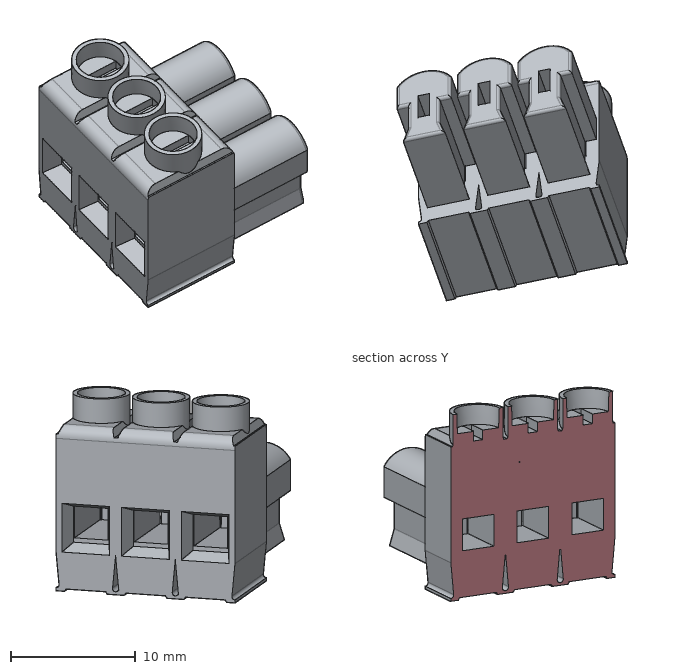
import cadquery as cq

POLES = 3
BODY_WIDTH = 15.0
PITCH = BODY_WIDTH / POLES
BODY_DEPTH = 8.5
BODY_TOP = 13.5
BODY_FILLET = 1.0
TOTAL_DEPTH = 16
TOTAL_HEIGHT = 15.5
pole_centres = [(i - (POLES - 1) / 2) * PITCH for i in range(POLES)]
pole_borders = [(i - POLES / 2) * PITCH for i in range(POLES + 1)]

GROOVE_FLOOR = 12.85
GROOVE_TOP_HALF = 0.42
GROOVE_FLOOR_HALF = 0.136

SLIT_APEX = 3.23
SLIT_RADIUS = 0.25
SLIT_CENTRE = 0.51

RECESS_HEIGHT = 0.2
RECESS_BOTTOM_HALF = 1.8
RECESS_TOP_HALF = 1.66

COLLAR_DIAMETER = 4.6
BORE_TOP_DIAMETER = 3.84
BORE_BOTTOM_DIAMETER = 3.71
SCREW_TOP = 13.87
SCREW_SLOT_WIDTH = 0.8
SCREW_SLOT_LENGTH = 3.65
SCREW_SLOT_DEPTH = 0.8
screw_y = BODY_DEPTH / 2

FUNNEL_BOTTOM = 3.22
FUNNEL_SIZE = 4
FUNNEL_THROAT = 2.96
FUNNEL_DEPTH = 1.5
CHAMBER_BOTTOM = 4.1
CHAMBER_WIDTH = 2.83
CONTACT_SLIT_WIDTH = 0.96
funnel_centre_z = FUNNEL_BOTTOM + FUNNEL_SIZE / 2
chamber_top = funnel_centre_z + FUNNEL_THROAT / 2

PLUG_HALF_WIDTH = 2.25
PLUG_TOP = 9.66
PLUG_SHOULDER = 8.37
PLUG_STEP = 5.82
PLUG_FLARE_TOP = 3.1
PLUG_BOTTOM = 1.75
PLUG_NECK_HALF = 1.31
PLUG_FOOT_HALF = 1.75
PLUG_END_FILLET = 0.25


def box(x, width, y_start, y_end, z_start, z_end):
    """Box centred on x in X, between the given Y and Z limits."""
    base = cq.Workplane("XY", origin=(x, y_start, z_start))
    return base.box(width, y_end - y_start, z_end - z_start, centered=(True, False, False))


def along_body(outline):
    """Extrude an XZ outline through the whole depth of the body."""
    return outline.close().extrude(-BODY_DEPTH)


def groove(x):
    return along_body(
        cq.Workplane("XZ")
        .moveTo(x - GROOVE_TOP_HALF, BODY_TOP)
        .lineTo(x - GROOVE_FLOOR_HALF, GROOVE_FLOOR)
        .lineTo(x + GROOVE_FLOOR_HALF, GROOVE_FLOOR)
        .lineTo(x + GROOVE_TOP_HALF, BODY_TOP)
    )


def slit(x):
    wedge = along_body(
        cq.Workplane("XZ")
        .moveTo(x, SLIT_APEX)
        .lineTo(x - SLIT_RADIUS, SLIT_CENTRE)
        .lineTo(x + SLIT_RADIUS, SLIT_CENTRE)
    )
    root = cq.Workplane("XZ").center(x, SLIT_CENTRE).circle(SLIT_RADIUS).extrude(-BODY_DEPTH)
    return wedge.union(root)


def recess(x):
    return along_body(
        cq.Workplane("XZ")
        .moveTo(x - RECESS_BOTTOM_HALF, 0)
        .lineTo(x - RECESS_TOP_HALF, RECESS_HEIGHT)
        .lineTo(x + RECESS_TOP_HALF, RECESS_HEIGHT)
        .lineTo(x + RECESS_BOTTOM_HALF, 0)
    )


def body():
    block = box(0, BODY_WIDTH, 0, BODY_DEPTH, 0, BODY_TOP)
    block = block.edges(">Z and |X").fillet(BODY_FILLET)
    for x in pole_borders:
        block = block.cut(groove(x)).cut(slit(x))
    for x in pole_centres:
        block = block.cut(recess(x))
    return block


def plug(x):
    shape = (
        cq.Workplane("XZ", origin=(x, BODY_DEPTH, 0))
        .moveTo(-PLUG_HALF_WIDTH, PLUG_SHOULDER)
        .threePointArc((0, PLUG_TOP), (PLUG_HALF_WIDTH, PLUG_SHOULDER))
        .lineTo(PLUG_HALF_WIDTH, PLUG_STEP)
        .lineTo(PLUG_NECK_HALF, PLUG_STEP)
        .lineTo(PLUG_NECK_HALF, PLUG_FLARE_TOP)
        .lineTo(PLUG_FOOT_HALF, PLUG_BOTTOM)
        .lineTo(-PLUG_FOOT_HALF, PLUG_BOTTOM)
        .lineTo(-PLUG_NECK_HALF, PLUG_FLARE_TOP)
        .lineTo(-PLUG_NECK_HALF, PLUG_STEP)
        .lineTo(-PLUG_HALF_WIDTH, PLUG_STEP)
        .close()
        .extrude(BODY_DEPTH - TOTAL_DEPTH)
    )
    return shape.faces(">Y").edges().fillet(PLUG_END_FILLET)


def collar(x):
    """Screw collar, reaching down to the floor of the grooves beside it."""
    base = cq.Workplane("XY", origin=(x, screw_y, GROOVE_FLOOR))
    return base.circle(COLLAR_DIAMETER / 2).extrude(TOTAL_HEIGHT - GROOVE_FLOOR)


def screw_cut(x):
    """Slightly tapered bore down to the screw head, with the driver slot across the head."""
    slot_floor = SCREW_TOP - SCREW_SLOT_DEPTH
    slot_start = screw_y - SCREW_SLOT_LENGTH / 2
    slot = box(x, SCREW_SLOT_WIDTH, slot_start, slot_start + SCREW_SLOT_LENGTH, slot_floor, SCREW_TOP)
    bore = (
        cq.Workplane("XY", origin=(x, screw_y, SCREW_TOP))
        .circle(BORE_BOTTOM_DIAMETER / 2)
        .workplane(offset=TOTAL_HEIGHT - SCREW_TOP)
        .circle(BORE_TOP_DIAMETER / 2)
        .loft()
    )
    return bore.union(slot)


def wire_entry(x):
    funnel = (
        cq.Workplane("XZ", origin=(x, 0, funnel_centre_z))
        .rect(FUNNEL_SIZE, FUNNEL_SIZE)
        .workplane(offset=-FUNNEL_DEPTH)
        .rect(FUNNEL_THROAT, FUNNEL_THROAT)
        .loft(ruled=True)
    )
    chamber = box(x, CHAMBER_WIDTH, FUNNEL_DEPTH, BODY_DEPTH, CHAMBER_BOTTOM, chamber_top)
    contact_slit = box(x, CONTACT_SLIT_WIDTH, BODY_DEPTH, TOTAL_DEPTH, CHAMBER_BOTTOM, chamber_top)
    return funnel.union(chamber).union(contact_slit)


result = body()
for x in pole_centres:
    result = result.union(collar(x)).union(plug(x))
    result = result.cut(screw_cut(x)).cut(wire_entry(x))